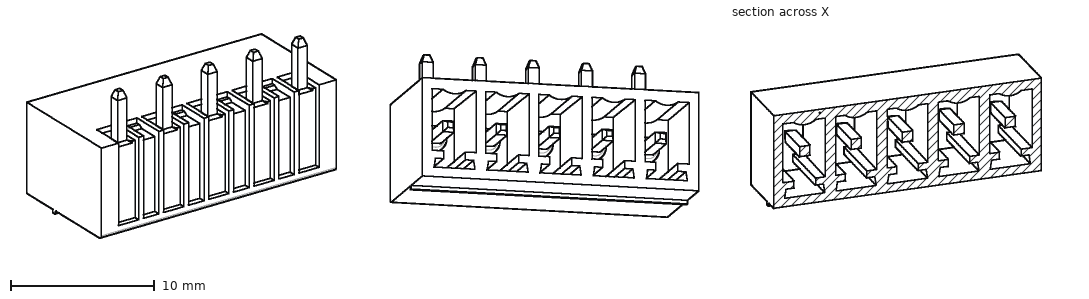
import cadquery as cq
import math


depth = 9.2
length = 19.85
height = 7.0
back_edge_radius = 0.3

pin_count = 5
pitch = 3.81
pin_ys = [(i - (pin_count - 1) / 2) * pitch for i in range(pin_count)]
gap_ys = [(near + far) / 2 for near, far in zip(pin_ys, pin_ys[1:])]

pin_width = 0.8
tip_width = 0.4
tip_length = 0.55
pin_rise = 3.4
pin_x = 8.0
pin_z = 4.0
pin_front_x = 1.15

wall = 0.7
roof = 0.75
floor = 0.67
pocket_depth = 6.0
pocket_half = (pitch - wall) / 2
divider_draft = 0.75
bump_width = 1.65
bump_drop = 0.28
rail_top_z = 1.87
rail_thickness = 0.55
rail_gap = 1.57
foot_top_width = 2.74
foot_bottom_width = 2.94
boss_diameter = 1.8
boss_height = 0.5
boss_edge_radius = 0.24

notch_front_x = 6.5
rib_thickness = 0.42
pin_notch_width = 1.69
gap_notch_width = pitch - pin_notch_width - 2 * rib_thickness
shallow_depth = 0.4
gap_notch_depth = 0.6
ramp_start_x = 6.79
ramp_end_x = 7.09
pin_groove_x = 8.75
gap_groove_x = 8.7
flare_width = 1.2
flare_drop = 0.14
groove_floor_z = 0.67

keel_x = 3.2
keel_top_width = 0.35
keel_bottom_width = 0.28
keel_height = 0.25


def box(x0, x1, y0, y1, z0, z1):
    """Block between two opposite corners."""
    return cq.Workplane("XY").box(x1 - x0, y1 - y0, z1 - z0, centered=False).translate((x0, y0, z0))


def along_y(points, y, width):
    """Prism of an XZ outline, centred on y."""
    return cq.Workplane("XZ", origin=(0, y, 0)).polyline(points).close().extrude(width / 2, both=True)


def housing():
    body = box(0, depth, -length / 2, length / 2, 0, height)
    body = body.edges(">X and <Z").fillet(back_edge_radius)
    keel = [
        (keel_x, 0),
        (keel_x + keel_top_width, 0),
        (keel_x + keel_bottom_width, -keel_height),
        (keel_x, -keel_height),
    ]
    return body.union(along_y(keel, 0, length))


def upper_space(y):
    """Drafted main space of a pocket, with the rounded key left hanging from its roof."""
    roof_z = height - roof
    end_wall_y = length / 2 - wall
    taper = pocket_depth * math.tan(math.radians(divider_draft))

    low_mouth = y - pocket_half
    low_back = low_mouth + taper
    high_mouth = y + pocket_half
    high_back = high_mouth - taper
    if y == pin_ys[0]:
        low_mouth = low_back = -end_wall_y
    if y == pin_ys[-1]:
        high_mouth = high_back = end_wall_y

    plan = [(0, low_mouth), (pocket_depth, low_back), (pocket_depth, high_back), (0, high_mouth)]
    space = cq.Workplane("XY", origin=(0, 0, rail_top_z)).polyline(plan).close().extrude(roof_z - rail_top_z)
    key = (
        cq.Workplane("YZ")
        .moveTo(y - bump_width / 2, roof_z)
        .threePointArc((y, roof_z - bump_drop), (y + bump_width / 2, roof_z))
        .close()
        .extrude(pocket_depth)
    )
    return space.cut(key)


def lower_space(y):
    """Gap between the two rails and the dovetailed space beneath them."""
    rail_bottom_z = rail_top_z - rail_thickness
    half_outline = [
        (rail_gap / 2, rail_top_z),
        (rail_gap / 2, rail_bottom_z),
        (foot_top_width / 2, rail_bottom_z),
        (foot_bottom_width / 2, floor),
    ]
    right_side = [(y + dy, z) for dy, z in half_outline]
    left_side = [(y - dy, z) for dy, z in reversed(half_outline)]
    return cq.Workplane("YZ").polyline(right_side + left_side).close().extrude(pocket_depth)


def boss(y):
    """Rounded collar around the pin on the back wall of a pocket."""
    return (
        cq.Workplane("YZ", origin=(pocket_depth - boss_height, y, pin_z))
        .circle(boss_diameter / 2)
        .extrude(boss_height)
        .faces("<X")
        .edges()
        .fillet(boss_edge_radius)
    )


def pocket(y):
    """Everything removed from the mating face for one pin."""
    return upper_space(y).union(lower_space(y)).cut(boss(y))


def pin_notch(y):
    """Shallow recess around an upright leg, with a flared ramp into the rear groove."""
    half = pin_notch_width / 2
    notch_z = height - shallow_depth
    notch = box(notch_front_x, depth, y - half, y + half, notch_z, height)
    groove = box(pin_groove_x, depth, y - half, y + half, groove_floor_z, height)

    pin_back_x = pin_x + pin_width / 2
    flare_plan = [
        (pin_back_x, y - pin_width / 2),
        (pin_groove_x, y - flare_width / 2),
        (pin_groove_x, y + flare_width / 2),
        (pin_back_x, y + pin_width / 2),
    ]
    flare = (
        cq.Workplane("XY", origin=(0, 0, notch_z - flare_drop)).polyline(flare_plan).close().extrude(flare_drop)
    )
    slope = [(pin_back_x, notch_z), (pin_groove_x, notch_z), (pin_groove_x, notch_z - flare_drop)]
    return notch.union(groove).union(flare.intersect(along_y(slope, y, flare_width)))


def gap_notch(y):
    """Stepped recess between two pins, opening into a groove down the rear face."""
    outline = [
        (notch_front_x, height),
        (notch_front_x, height - shallow_depth),
        (ramp_start_x, height - shallow_depth),
        (ramp_end_x, height - gap_notch_depth),
        (gap_groove_x, height - gap_notch_depth),
        (gap_groove_x, groove_floor_z),
        (depth, groove_floor_z),
        (depth, height),
    ]
    return along_y(outline, y, gap_notch_width)


def pin_leg(leg_length):
    """Square leg rising from the origin along Z and tapering to a blunt tip."""
    shank = cq.Workplane("XY").rect(pin_width, pin_width).extrude(leg_length - tip_length)
    tip = (
        shank.faces(">Z")
        .workplane()
        .rect(pin_width, pin_width)
        .workplane(offset=tip_length)
        .rect(tip_width, tip_width)
        .loft(combine=False)
    )
    return shank.union(tip)


def pin(y):
    """Right-angle pin: one leg towards the mating face, one leg up."""
    bend_x = pin_x + pin_width / 2
    bend_z = pin_z - pin_width / 2
    horizontal = pin_leg(bend_x - pin_front_x).rotate((0, 0, 0), (0, 1, 0), -90)
    upright = pin_leg(height + pin_rise - bend_z)
    return horizontal.translate((bend_x, y, pin_z)).union(upright.translate((pin_x, y, bend_z)))


result = housing()
for y in pin_ys:
    result = result.cut(pocket(y)).cut(pin_notch(y))
for y in gap_ys:
    result = result.cut(gap_notch(y))
for y in pin_ys:
    result = result.union(pin(y))